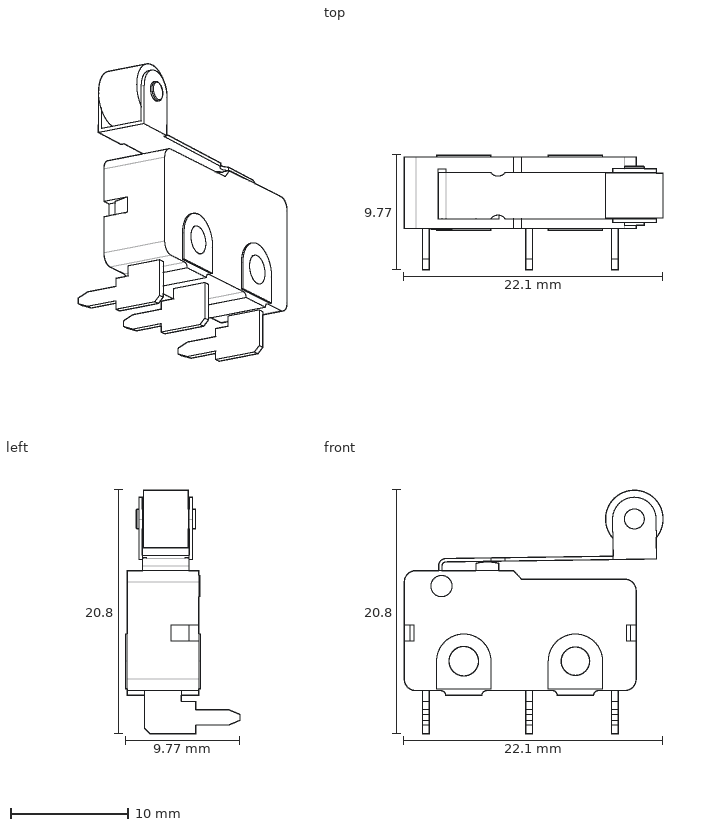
import cadquery as cq


overall_length = 22.05
case_length = 19.77
case_depth = 6.1
case_height = 10.24
shoulder_height = 9.5
step_start_x = 9.3
step_end_x = 10.0
corner_radius = 1.0
case_front = -case_depth / 2

left_mount_x = 5.07
mount_pitch = 9.5
mount_height = 2.51
left_hole_diameter = 2.5
right_hole_diameter = 2.4
pad_radius = 2.32
pad_bottom = 0.15
pad_thickness = 0.15
foot_width = 3.1
foot_height = 0.4

disc_diameter = 1.8
disc_x = 3.18
disc_z = 8.91
disc_thickness = 0.09

notch_bottom = 4.24
notch_height = 1.37
notch_depth = 0.84
ramp_depth = 0.5
notch_step_y = -2.23
ramp_end_y = -0.68

terminal_positions = (1.85, 10.63, 17.93)
terminal_thickness = 0.6
terminal_bottom = -3.68
terminal_back = 1.59
terminal_neck_front = -1.57
terminal_shoulder_front = -2.8
terminal_shoulder_top = -0.9
terminal_chamfer = 0.49
prong_center_z = -2.27
prong_width = 1.3
prong_tip_width = 0.5
prong_taper_y = -5.63
prong_tip_y = -6.57

roller_diameter = 4.92
roller_width = 3.84
roller_x = overall_length - roller_diameter / 2
roller_z = 14.63
axle_diameter = 1.7
axle_length = 5.07
axle_chamfer = 0.09

lever_center_y = -0.25
lever_width = 3.97
lever_thickness = 0.3
lever_tilt = 0.8
lever_left = 2.87
roller_to_lever_bottom = 3.45
lever_bottom = roller_z - roller_to_lever_bottom
bend_radius = 0.65
ear_radius = 1.85
lever_notch_x = 7.95
lever_notch_radius = 0.73
lever_notch_depth = 0.33
lever_front = lever_center_y - lever_width / 2

slot_left = 2.87
slot_width = 0.68
slot_back = 2.03
slot_depth = 0.5

plunger_left = 6.1
plunger_width = 1.96
plunger_depth = 3.3
plunger_top = 10.99
plunger_side_top = 10.85


def front_plane(y):
    """Workplane parallel to XZ at the given y; negative extrusion goes toward +Y."""
    return cq.Workplane("XZ", origin=(0, y, 0))


def cylinder_y(x, z, diameter, y_center, length):
    """Cylinder along Y, centred on y_center."""
    return front_plane(y_center - length / 2).center(x, z).circle(diameter / 2).extrude(-length)


def arch(x, z, radius, bottom, y_front, thickness):
    """Plate with a half-round top about (x, z) and straight sides down to bottom."""
    return (
        front_plane(y_front)
        .moveTo(x - radius, bottom)
        .lineTo(x - radius, z)
        .threePointArc((x, z + radius), (x + radius, z))
        .lineTo(x + radius, bottom)
        .close()
        .extrude(-thickness)
    )


def make_case():
    outline = [
        (0, 0),
        (0, case_height),
        (step_start_x, case_height),
        (step_end_x, shoulder_height),
        (case_length, shoulder_height),
        (case_length, 0),
    ]
    body = front_plane(case_front).polyline(outline).close().extrude(-case_depth)
    return body.edges("(<X or >X) and |Y").fillet(corner_radius)


def make_foot(x):
    """Low foot whose ends sweep up to the case underside in concave quarter rounds."""
    half = foot_width / 2
    return (
        front_plane(case_front)
        .moveTo(x - half - foot_height, 0)
        .radiusArc((x - half, -foot_height), foot_height)
        .lineTo(x + half, -foot_height)
        .radiusArc((x + half + foot_height, 0), foot_height)
        .close()
        .extrude(-case_depth)
    )


def make_pad(x):
    """One arched pad running through the case, standing proud on both faces."""
    return arch(
        x, mount_height, pad_radius, pad_bottom,
        case_front - pad_thickness, case_depth + 2 * pad_thickness,
    )


def make_snap_notch():
    """Cutter for the left end: a square notch in the front edge with a ramp behind it."""
    outline = [
        (0, case_front),
        (notch_depth, case_front),
        (notch_depth, notch_step_y),
        (ramp_depth, notch_step_y),
        (0, ramp_end_y),
    ]
    return cq.Workplane("XY", origin=(0, 0, notch_bottom)).polyline(outline).close().extrude(notch_height)


def make_terminal(x):
    """L-shaped blade whose tapered prong points toward -Y."""
    prong_half = prong_width / 2
    tip_half = prong_tip_width / 2
    outline = [
        (terminal_back, 0),
        (terminal_neck_front, 0),
        (terminal_neck_front, terminal_shoulder_top),
        (terminal_shoulder_front, terminal_shoulder_top),
        (terminal_shoulder_front, prong_center_z + prong_half),
        (prong_taper_y, prong_center_z + prong_half),
        (prong_tip_y, prong_center_z + tip_half),
        (prong_tip_y, prong_center_z - tip_half),
        (prong_taper_y, prong_center_z - prong_half),
        (terminal_shoulder_front, prong_center_z - prong_half),
        (terminal_shoulder_front, terminal_bottom),
        (terminal_back - terminal_chamfer, terminal_bottom),
        (terminal_back, terminal_bottom + terminal_chamfer),
    ]
    blade = cq.Workplane("YZ", origin=(x, 0, 0)).polyline(outline).close()
    return blade.extrude(terminal_thickness / 2, both=True)


def make_lever():
    """Bent strip with an edge notch on each side and two ears that carry the axle."""
    lever_top = lever_bottom + lever_thickness
    lever_right = roller_x + ear_radius
    leg_bottom = case_height - slot_depth
    inner_radius = bend_radius - lever_thickness
    bend_x = lever_left + bend_radius
    bend_z = lever_top - bend_radius
    strip = (
        front_plane(lever_front)
        .moveTo(lever_left, leg_bottom)
        .lineTo(lever_left, bend_z)
        .radiusArc((bend_x, lever_top), bend_radius)
        .lineTo(lever_right, lever_top)
        .lineTo(lever_right, lever_bottom)
        .lineTo(bend_x, lever_bottom)
        .radiusArc((bend_x - inner_radius, bend_z), -inner_radius)
        .lineTo(bend_x - inner_radius, leg_bottom)
        .close()
        .extrude(-lever_width)
    )
    notch_offset = lever_width / 2 + lever_notch_radius - lever_notch_depth
    for side in (-1, 1):
        notch = (
            cq.Workplane("XY", origin=(lever_notch_x, lever_center_y + side * notch_offset, lever_bottom))
            .circle(lever_notch_radius)
            .extrude(lever_thickness)
        )
        strip = strip.cut(notch)
    for ear_front in (lever_front - lever_thickness, lever_front + lever_width):
        strip = strip.union(arch(roller_x, roller_z, ear_radius, lever_bottom, ear_front, lever_thickness))
    axis_start = (roller_x, 0, roller_z)
    axis_end = (roller_x, -1, roller_z)
    return strip.rotate(axis_start, axis_end, lever_tilt)


def make_roller():
    roller = cylinder_y(roller_x, roller_z, roller_diameter, lever_center_y, roller_width)
    axle = cylinder_y(roller_x, roller_z, axle_diameter, lever_center_y, axle_length)
    return roller.union(axle.faces(">Y").edges().chamfer(axle_chamfer))


def make_plunger():
    """Button with upright sides and a gently domed top."""
    middle = plunger_left + plunger_width / 2
    right = plunger_left + plunger_width
    return (
        front_plane(lever_front)
        .moveTo(plunger_left, shoulder_height)
        .lineTo(plunger_left, plunger_side_top)
        .threePointArc((middle, plunger_top), (right, plunger_side_top))
        .lineTo(right, shoulder_height)
        .close()
        .extrude(-plunger_depth)
    )


switch = make_case()
snap_notch = make_snap_notch()
switch = switch.cut(snap_notch)
switch = switch.cut(snap_notch.mirror("YZ", (case_length / 2, 0, 0)))

slot = cq.Workplane("XY", origin=(slot_left, lever_front, case_height - slot_depth)).box(
    slot_width, slot_back - lever_front, slot_depth, centered=False
)
switch = switch.cut(slot)

right_mount_x = left_mount_x + mount_pitch
for mount_x, hole_diameter in (
    (left_mount_x, left_hole_diameter),
    (right_mount_x, right_hole_diameter),
):
    switch = switch.union(make_pad(mount_x)).union(make_foot(mount_x))
    switch = switch.cut(cylinder_y(mount_x, mount_height, hole_diameter, 0, 2 * case_depth))

marking_disc = front_plane(case_front).center(disc_x, disc_z).circle(disc_diameter / 2).extrude(disc_thickness)
switch = switch.union(marking_disc)

for terminal_x in terminal_positions:
    switch = switch.union(make_terminal(terminal_x))

result = switch.union(make_plunger()).union(make_lever()).union(make_roller())